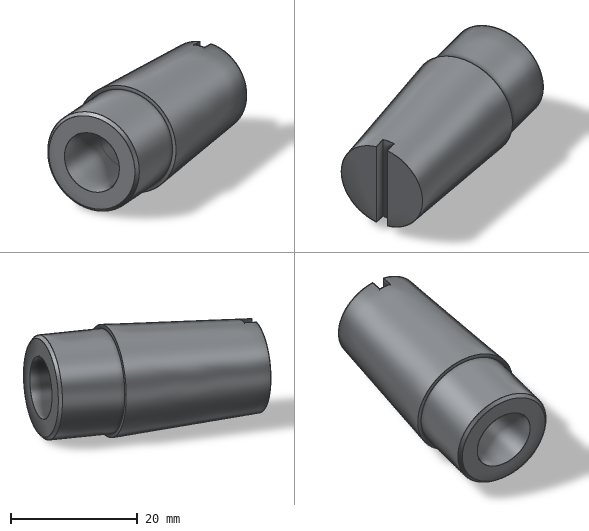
import cadquery as cq

length = 36.0
shoulder_diameter = 18.0
tip_diameter = 15.0
spigot_diameter = 16.7
spigot_length = 11.0
chamfer = 0.5

bore_diameter = 10.0
floor_diameter = 6.75
cone_length = 20.0
bore_depth = spigot_length + cone_length

slot_width = 2.0
slot_depth = 2.0

front_y = -length / 2
back_y = length / 2
shoulder_y = front_y + spigot_length
spigot_radius = spigot_diameter / 2


def revolve_about_y(points):
    """Turn a closed (radius, y) outline about the Y axis."""
    profile = cq.Workplane("XY").polyline(points).close()
    return profile.revolve(360, (0, 0, 0), (0, 1, 0))


body = revolve_about_y([
    (0, front_y),
    (spigot_radius - chamfer, front_y),
    (spigot_radius, front_y + chamfer),
    (spigot_radius, shoulder_y),
    (shoulder_diameter / 2, shoulder_y),
    (tip_diameter / 2, back_y),
    (0, back_y),
])

bore = revolve_about_y([
    (0, front_y),
    (bore_diameter / 2, front_y),
    (bore_diameter / 2, shoulder_y),
    (floor_diameter / 2, front_y + bore_depth),
    (0, front_y + bore_depth),
])

slot = cq.Workplane("XY").box(slot_width, slot_depth, shoulder_diameter)
slot = slot.translate((0, back_y - slot_depth / 2, 0))

result = body.cut(bore).cut(slot)